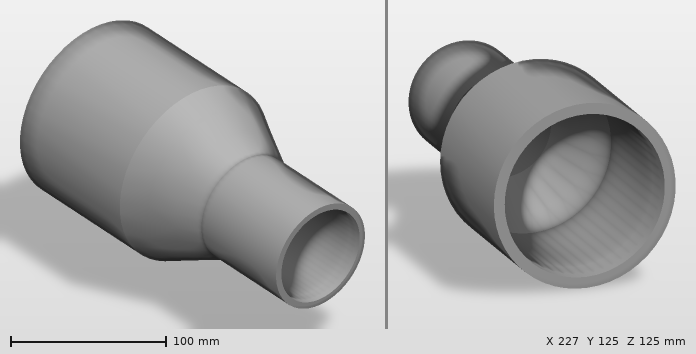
import cadquery as cq

total_length = 227.0
wide_length = 100.0
narrow_length = 75.0
wide_outer_diameter = 125.0
wide_bore_diameter = 110.0
narrow_outer_diameter = 75.0
narrow_bore_diameter = 66.0

cone_start = wide_length
cone_end = total_length - narrow_length


def stepped_body(wide_diameter, narrow_diameter):
    """Solid of revolution: wide cylinder, cone, narrow cylinder, centred on X."""
    wide_radius = wide_diameter / 2
    narrow_radius = narrow_diameter / 2
    profile = cq.Workplane("XY").polyline([
        (0, 0),
        (0, wide_radius),
        (cone_start, wide_radius),
        (cone_end, narrow_radius),
        (total_length, narrow_radius),
        (total_length, 0),
    ]).close()
    return profile.revolve(360, (0, 0, 0), (1, 0, 0))


outer_body = stepped_body(wide_outer_diameter, narrow_outer_diameter)
bore = stepped_body(wide_bore_diameter, narrow_bore_diameter)

result = outer_body.cut(bore)